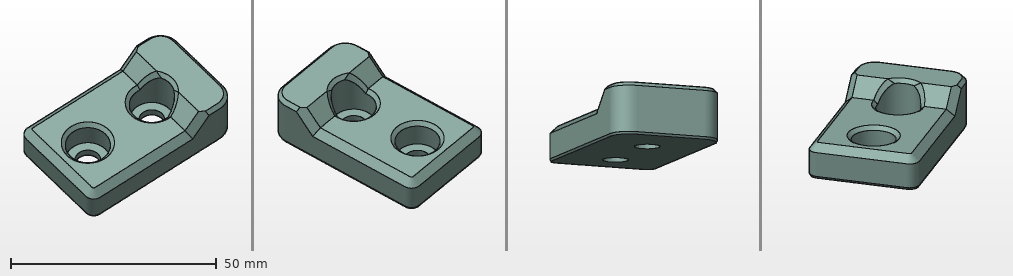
import cadquery as cq
import math

width = 28.0
length = 45.0
height = 13.0
pad_height = 8.78

rear_radius = 5.0
front_radius = 2.5
pad_chamfer_inset = 2.0
pad_chamfer_drop = 1.9
step_chamfer = 1.0
foot_chamfer_inset = 0.292
foot_chamfer_rise = 0.6

step_depth = 10.1
ramp_top_y = length / 2 - step_depth
ramp_direction = cq.Vector(0, 1, 1)
ramp_stretch = math.sqrt(2)

hole_diameter = 6.3
bore_diameter = 11.0
bore_chamfer = 1.0
bore_floor = 2.0
rear_hole_y = length / 2 - 15.0
front_hole_y = -length / 2 + 10.0
bore_radius = bore_diameter / 2
mouth_radius = bore_radius + bore_chamfer


def rounded_block(block_height, chamfer_drop, chamfer_inset):
    """Block with the part's plan outline and chamfers on its top and bottom rims."""
    block = cq.Workplane("XY").box(width, length, block_height, centered=(True, True, False))
    block = block.edges("|Z and >Y").fillet(rear_radius)
    block = block.edges("|Z and <Y").fillet(front_radius)
    block = block.faces(">Z").edges().chamfer(chamfer_drop, chamfer_inset)
    return block.faces("<Z").edges().chamfer(foot_chamfer_rise, foot_chamfer_inset)


def bore_mouth(hole_y, surface_z):
    """Conical cutter that bevels a bore where it opens on a horizontal surface."""
    return (
        cq.Workplane("XY", origin=(0, hole_y, surface_z - bore_chamfer))
        .circle(bore_radius)
        .workplane(offset=bore_chamfer)
        .circle(mouth_radius)
        .loft(ruled=True)
    )


def ramp_ellipse(radius, z):
    """Ellipse parallel to the ramp that appears as a circle from above."""
    return cq.Wire.makeEllipse(
        radius * ramp_stretch,
        radius,
        cq.Vector(0, rear_hole_y, z),
        cq.Vector(0, -1, 1),
        ramp_direction,
    )


def ramp_prism():
    """Long bar with bevelled sides whose upper face is the ramp."""
    half = width / 2
    shoulder = half - pad_chamfer_inset
    section = cq.Plane(origin=(0, ramp_top_y, height), xDir=(1, 0, 0), normal=(0, -1, -1))
    bar = (
        cq.Workplane(section)
        .polyline([
            (-shoulder, 0),
            (shoulder, 0),
            (half, -pad_chamfer_drop),
            (half, -length),
            (-half, -length),
            (-half, -pad_chamfer_drop),
        ])
        .close()
        .extrude(length, both=True)
    )
    ramp_z = height + rear_hole_y - ramp_top_y
    mouth = cq.Solid.makeLoft(
        [ramp_ellipse(bore_radius, ramp_z - bore_chamfer), ramp_ellipse(mouth_radius, ramp_z)], True
    )
    return bar.cut(cq.Workplane(mouth))


pad = rounded_block(pad_height, pad_chamfer_drop, pad_chamfer_inset)
for hole_y in (front_hole_y, rear_hole_y):
    pad = pad.cut(bore_mouth(hole_y, pad_height))

step = rounded_block(height, step_chamfer, step_chamfer)
step = step.cut(bore_mouth(rear_hole_y, height)).intersect(ramp_prism())

result = pad.union(step)

for hole_y in (front_hole_y, rear_hole_y):
    hole = cq.Workplane("XY", origin=(0, hole_y, 0)).circle(hole_diameter / 2).extrude(height)
    bore = cq.Workplane("XY", origin=(0, hole_y, bore_floor)).circle(bore_radius).extrude(height)
    result = result.cut(hole).cut(bore)